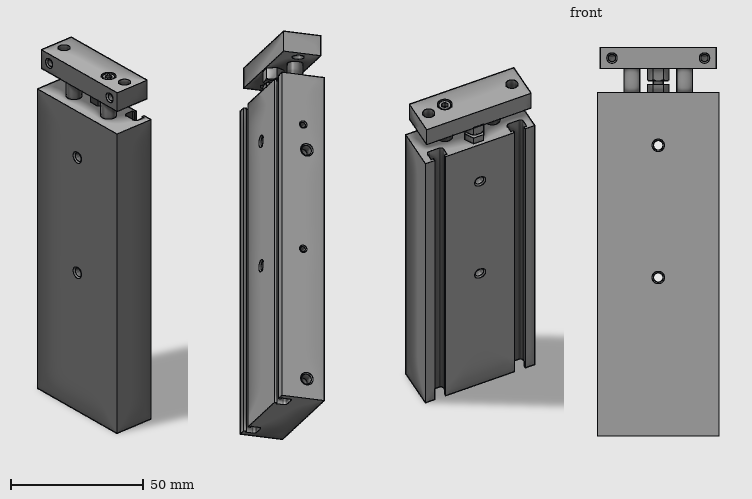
import cadquery as cq
import math

total_height = 147.0

housing_width = 46.0
housing_depth = 17.0
housing_height = 130.0
housing_left = -housing_width / 2

slot_offset = 16.8
slot_mouth_width = 4.5
slot_lip = 1.0
slot_floor_radius = 1.2
slot_inner_width = 6.6
slot_depth = 5.1

mount_top_drop = 20.0
mount_pitch = 50.0
mount_levels = [
    housing_height - mount_top_drop,
    housing_height - mount_top_drop - mount_pitch,
]
through_mouth = 4.7
through_bore = 3.5
side_mouth = 3.0
side_bore = 2.0
side_hole_depth = 4.4

port_mouth = 5.0
port_bore = 4.0
port_depth = 5.0
port_top_drop = 30.0
port_bottom_rise = 8.0
port_levels = [port_bottom_rise, housing_height - port_top_drop]

rod_axis_y = -1.5
rod_offset = 10.0
rod_diameter = 6.0

plate_width = 44.0
plate_depth = 15.0
plate_thickness = 8.1
plate_bottom = total_height - plate_thickness
plate_gap = plate_bottom - housing_height
plate_mid_z = total_height - plate_thickness / 2
plate_hole_offset = 17.5
plate_clearance = 4.5
plate_mouth = 4.0
plate_bore = 2.8
plate_hole_depth = 3.5

screw_recess = 5.6
screw_head = 4.5
screw_socket = 2.4
screw_recess_depth = 4.0
screw_socket_depth = 2.0
screw_drop = 0.3

stop_y = 3.5
hex_flats = 7.0
stop_head_height = 3.1
stop_shank_diameter = 4.0
stop_nut_height = 4.5
stop_nut_bevel = 0.5

drill_angle = 118.0
shallow_drill_angle = 150.0
flat_end_angle = 180.0


def hexagon(flats, height):
    """Hexagonal prism with corners toward +X and -X."""
    return cq.Workplane().polygon(6, flats / math.cos(math.pi / 6)).extrude(height)


def drilled_hole(start, direction, mouth, bore, depth, point_angle):
    """Cutter for a drilled hole bevelled at its mouth; a point angle of 180 gives a flat end."""
    bevel = (mouth - bore) / 2
    point = bore / 2 / math.tan(math.radians(point_angle / 2))
    profile = [(0, 0), (mouth / 2, 0), (bore / 2, bevel), (bore / 2, depth), (0, depth + point)]
    cutter = cq.Workplane("XZ").polyline(profile).close().revolve(360, (0, 0, 0), (0, 1, 0))
    plane = cq.Plane(origin=start, xDir=(0, 0, 1), normal=direction)
    return cq.Workplane(cutter.val().moved(cq.Location(plane)))


def through_hole(z):
    """Cutter for a front-to-back hole bevelled at both mouths."""
    half = housing_depth / 2
    front = drilled_hole((0, -half, z), (0, 1, 0), through_mouth, through_bore, half, flat_end_angle)
    back = drilled_hole((0, half, z), (0, -1, 0), through_mouth, through_bore, half, flat_end_angle)
    return front.union(back)


def sensor_slot(x):
    """Cutter for one T-shaped slot open to the back."""
    back = housing_depth / 2
    mouth = cq.Workplane().box(slot_mouth_width, slot_lip, housing_height, centered=(True, False, False))
    mouth = mouth.translate((0, slot_depth - slot_lip, 0))
    inner = cq.Workplane().box(
        slot_inner_width, slot_depth - slot_lip, housing_height, centered=(True, False, False)
    )
    inner = inner.edges("|Z and <Y").fillet(slot_floor_radius)
    return mouth.union(inner).translate((x, back - slot_depth, 0))


def make_housing():
    """Block with sensor slots, mounting holes and air ports."""
    body = cq.Workplane().box(housing_width, housing_depth, housing_height, centered=(True, True, False))
    for side in (-1, 1):
        body = body.cut(sensor_slot(side * slot_offset))
    for z in mount_levels:
        side_start = (housing_left, 0, z)
        body = body.cut(through_hole(z))
        body = body.cut(
            drilled_hole(side_start, (1, 0, 0), side_mouth, side_bore, side_hole_depth, drill_angle)
        )
    for z in port_levels:
        port_start = (housing_left, rod_axis_y, z)
        body = body.cut(drilled_hole(port_start, (1, 0, 0), port_mouth, port_bore, port_depth, drill_angle))
    return body


def make_plate():
    """End plate with vertical clearance holes and threaded holes in its front."""
    plate = cq.Workplane().box(plate_width, plate_depth, plate_thickness, centered=(True, True, False))
    plate = plate.translate((0, 0, plate_bottom))
    for side in (-1, 1):
        x = side * plate_hole_offset
        clearance = cq.Workplane().circle(plate_clearance / 2).extrude(plate_thickness)
        plate = plate.cut(clearance.translate((x, 0, plate_bottom)))
        front_start = (x, -plate_depth / 2, plate_mid_z)
        plate = plate.cut(
            drilled_hole(front_start, (0, 1, 0), plate_mouth, plate_bore, plate_hole_depth, shallow_drill_angle)
        )
    return plate


def add_rod_screw(plate):
    """Counterbore holding the socket screw above the right rod."""
    recess = cq.Workplane().circle(screw_recess / 2).extrude(screw_recess_depth)
    floor = (rod_offset, rod_axis_y, total_height - screw_recess_depth)
    recess = recess.translate(floor)
    head_height = screw_recess_depth - screw_drop
    head = cq.Workplane().circle(screw_head / 2).extrude(head_height)
    socket = hexagon(screw_socket, screw_socket_depth)
    head = head.cut(socket.translate((0, 0, head_height - screw_socket_depth)))
    head = head.translate(floor)
    return plate.cut(recess).union(head)


def make_stop_bolt():
    """Hexagon bolt with its locknut, reaching from the housing to the end plate."""
    hex_corners = hex_flats / math.cos(math.pi / 6)
    shank = cq.Workplane().circle(stop_shank_diameter / 2).extrude(plate_gap)
    bevel = cq.Workplane().circle(hex_corners / 2).extrude(stop_nut_height)
    bevel = bevel.faces("<Z").chamfer(stop_nut_bevel)
    nut = hexagon(hex_flats, stop_nut_height).intersect(bevel).translate((0, 0, plate_gap - stop_nut_height))
    bolt = shank.union(hexagon(hex_flats, stop_head_height)).union(nut)
    return bolt.translate((0, stop_y, housing_height))


def make_carriage():
    """Moving body: end plate, rods ending flush on the housing, rod screw and stop bolt."""
    body = add_rod_screw(make_plate())
    for side in (-1, 1):
        rod = cq.Workplane().circle(rod_diameter / 2).extrude(plate_gap)
        body = body.union(rod.translate((side * rod_offset, rod_axis_y, housing_height)))
    return body.union(make_stop_bolt())


housing = make_housing()
carriage = make_carriage()
result = cq.Compound.makeCompound([housing.val(), carriage.val()])